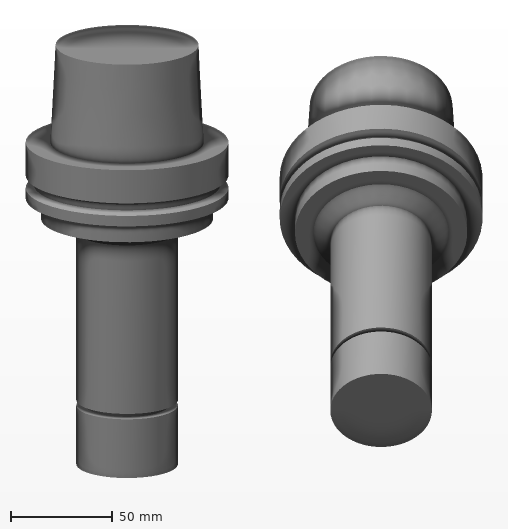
import cadquery as cq

TOTAL_HEIGHT = 215.0

TAPER_TOP_DIAMETER = 70.5
TAPER_BASE_DIAMETER = 75.7
TAPER_HEIGHT = 49.9

FLANGE_DIAMETER = 100.0
FLANGE_HEIGHT = 28.8
GRIPPER_DIAMETER = 92.0
LOWER_RIM_HEIGHT = 5.4
GRIPPER_FLANK_HEIGHT = 1.7
GRIPPER_FLOOR_HEIGHT = 3.0

COLLAR_DIAMETER = 85.0
COLLAR_HEIGHT = 10.3
CONE_TOP_DIAMETER = 66.6
CONE_HEIGHT = 6.7

STEM_DIAMETER = 50.0
NECK_DIAMETER = 41.0
NECK_HEIGHT = 2.8
END_PIECE_HEIGHT = 30.0

BOTTOM_Z = -TOTAL_HEIGHT / 2
END_PIECE_TOP_Z = BOTTOM_Z + END_PIECE_HEIGHT
STEM_BOTTOM_Z = END_PIECE_TOP_Z + NECK_HEIGHT
TOP_Z = BOTTOM_Z + TOTAL_HEIGHT
FLANGE_TOP_Z = TOP_Z - TAPER_HEIGHT
FLANGE_BOTTOM_Z = FLANGE_TOP_Z - FLANGE_HEIGHT
COLLAR_BOTTOM_Z = FLANGE_BOTTOM_Z - COLLAR_HEIGHT
CONE_BOTTOM_Z = COLLAR_BOTTOM_Z - CONE_HEIGHT


def revolve_profile(points):
    """Revolve a closed (radius, z) outline around the Z axis."""
    return cq.Workplane("XZ").polyline(points).close().revolve(360, (0, 0), (0, 1))


def make_gripper_groove():
    """V-sided ring that is cut from the rim of the flange."""
    lower_edge_z = FLANGE_BOTTOM_Z + LOWER_RIM_HEIGHT
    floor_bottom_z = lower_edge_z + GRIPPER_FLANK_HEIGHT
    floor_top_z = floor_bottom_z + GRIPPER_FLOOR_HEIGHT
    upper_edge_z = floor_top_z + GRIPPER_FLANK_HEIGHT
    return revolve_profile([
        (FLANGE_DIAMETER / 2, lower_edge_z),
        (GRIPPER_DIAMETER / 2, floor_bottom_z),
        (GRIPPER_DIAMETER / 2, floor_top_z),
        (FLANGE_DIAMETER / 2, upper_edge_z),
    ])


def make_holder():
    """Tapered shank, grooved flange, collar, stem and neck in one turned body."""
    blank = revolve_profile([
        (0, END_PIECE_TOP_Z),
        (NECK_DIAMETER / 2, END_PIECE_TOP_Z),
        (NECK_DIAMETER / 2, STEM_BOTTOM_Z),
        (STEM_DIAMETER / 2, STEM_BOTTOM_Z),
        (STEM_DIAMETER / 2, CONE_BOTTOM_Z),
        (CONE_TOP_DIAMETER / 2, COLLAR_BOTTOM_Z),
        (COLLAR_DIAMETER / 2, COLLAR_BOTTOM_Z),
        (COLLAR_DIAMETER / 2, FLANGE_BOTTOM_Z),
        (FLANGE_DIAMETER / 2, FLANGE_BOTTOM_Z),
        (FLANGE_DIAMETER / 2, FLANGE_TOP_Z),
        (TAPER_BASE_DIAMETER / 2, FLANGE_TOP_Z),
        (TAPER_TOP_DIAMETER / 2, TOP_Z),
        (0, TOP_Z),
    ])
    return blank.cut(make_gripper_groove())


def make_end_piece():
    """Plain cylinder that meets the lower face of the holder's neck."""
    base = cq.Workplane("XY").workplane(offset=BOTTOM_Z)
    return base.circle(STEM_DIAMETER / 2).extrude(END_PIECE_HEIGHT)


holder = make_holder()
end_piece = make_end_piece()

result = cq.Compound.makeCompound([holder.val(), end_piece.val()])